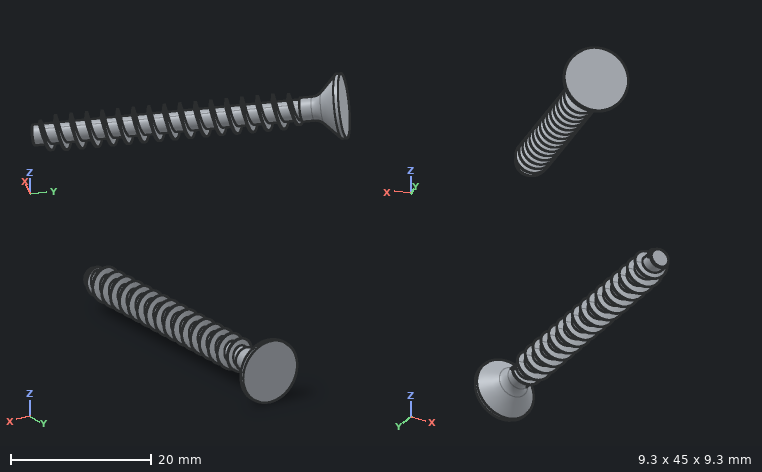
import cadquery as cq
import math

length = 45.0
head_radius = 9.3 / 2
rim_height = 0.68
neck_radius = 3.45 / 2
neck_end = 6.15
underhead_fillet = 2.02
core_radius = 3.0 / 2
tip_chamfer = 0.15

pitch = 2.25
turns = 17
thread_start = 6.3
crest_radius = 5.1 / 2
start_crest_radius = 2.05
end_crest_radius = 1.6
buried_radius = 1.3
root_width = 0.68
crest_width = 0.2
points_per_turn = 16


def make_body():
    """Revolve the head, neck and threaded core about Y."""
    diagonal = math.sqrt(0.5)
    fillet_top_radius = neck_radius + underhead_fillet * (1 - diagonal)
    fillet_top = rim_height + head_radius - fillet_top_radius
    fillet_bottom = fillet_top + underhead_fillet * diagonal
    mid_angle = math.radians(45) / 2
    fillet_middle = (
        neck_radius + underhead_fillet * (1 - math.cos(mid_angle)),
        -fillet_bottom + underhead_fillet * math.sin(mid_angle),
    )
    return (
        cq.Workplane("XY")
        .lineTo(head_radius, 0)
        .lineTo(head_radius, -rim_height)
        .lineTo(fillet_top_radius, -fillet_top)
        .threePointArc(fillet_middle, (neck_radius, -fillet_bottom))
        .lineTo(neck_radius, -neck_end)
        .lineTo(core_radius, -neck_end)
        .lineTo(core_radius, tip_chamfer - length)
        .lineTo(core_radius - tip_chamfer, -length)
        .lineTo(0, -length)
        .close()
        .revolve(360, (0, 0, 0), (0, 1, 0))
    )


def crest_radius_at(turn):
    """Crest radius, growing over the first turn and fading over the last."""
    growing = start_crest_radius + (crest_radius - start_crest_radius) * turn
    fading = end_crest_radius + (crest_radius - end_crest_radius) * (turns - turn)
    return min(growing, crest_radius, fading)


def buried_radius_at(turn):
    """Constant radius of the thread base, inside the core."""
    return buried_radius


def helix_edge(radius_at, axial_offset, first_turn):
    """One turn of a spiral edge that starts on the -X side and runs toward the tip."""
    points = []
    for step in range(points_per_turn + 1):
        turn = first_turn + step / points_per_turn
        angle = math.pi + 2 * math.pi * turn
        radius = radius_at(turn)
        depth = thread_start + pitch * turn
        points.append(cq.Vector(
            radius * math.cos(angle),
            axial_offset - depth,
            radius * math.sin(angle),
        ))
    return cq.Edge.makeSpline(points)


def make_thread_turn(first_turn):
    """Close four ruled helical faces and two end caps into one turn of the ridge."""
    edges = [
        helix_edge(buried_radius_at, root_width / 2, first_turn),
        helix_edge(crest_radius_at, crest_width / 2, first_turn),
        helix_edge(crest_radius_at, -crest_width / 2, first_turn),
        helix_edge(buried_radius_at, -root_width / 2, first_turn),
    ]
    faces = [cq.Face.makeRuledSurface(edges[i - 1], edges[i]) for i in range(len(edges))]
    for end in (0, 1):
        corners = [edge.positionAt(end) for edge in edges]
        faces.append(cq.Face.makeFromWires(cq.Wire.makePolygon(corners, close=True)))
    return cq.Solid.makeSolid(cq.Shell.makeShell(faces))


screw = make_body()
for turn_index in range(turns):
    screw = screw.union(cq.Workplane(make_thread_turn(turn_index)))
result = screw.solids()